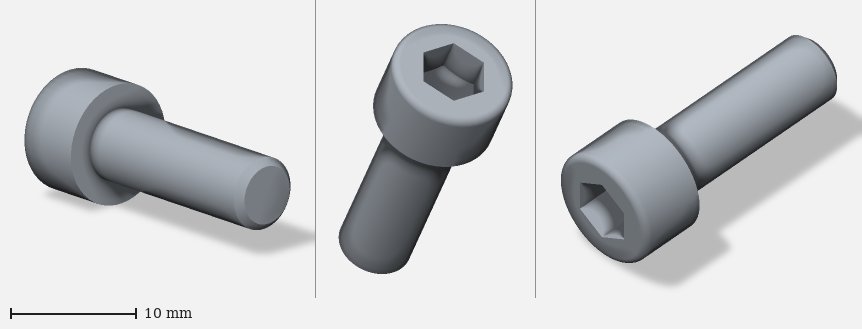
import cadquery as cq
import math

total_length = 24.0
head_diameter = 10.0
head_height = total_length / 4
shank_diameter = head_height
head_fillet = 0.6
tip_chamfer = 0.6

socket_across_flats = 5.0
socket_depth = 3.0
cone_half_angle = 60.0
corner_radius = socket_across_flats / math.sqrt(3)
cone_depth = corner_radius / math.tan(math.radians(cone_half_angle))


def make_head():
    head = cq.Workplane("YZ").circle(head_diameter / 2).extrude(head_height)
    return head.faces("<X").edges().fillet(head_fillet)


def make_shank():
    shank = cq.Workplane("YZ").circle(shank_diameter / 2).extrude(total_length)
    return shank.faces(">X").edges().chamfer(tip_chamfer)


def make_socket():
    hexagon = (
        cq.Workplane("YZ")
        .transformed(rotate=(0, 0, 90))
        .polygon(6, 2 * corner_radius)
        .extrude(socket_depth + cone_depth)
    )
    drilled_core = (
        cq.Workplane("XY")
        .moveTo(0, 0)
        .lineTo(0, corner_radius)
        .lineTo(socket_depth, corner_radius)
        .lineTo(socket_depth + cone_depth, 0)
        .close()
        .revolve(360, (0, 0, 0), (1, 0, 0))
    )
    return hexagon.intersect(drilled_core)


result = make_head().union(make_shank()).cut(make_socket())